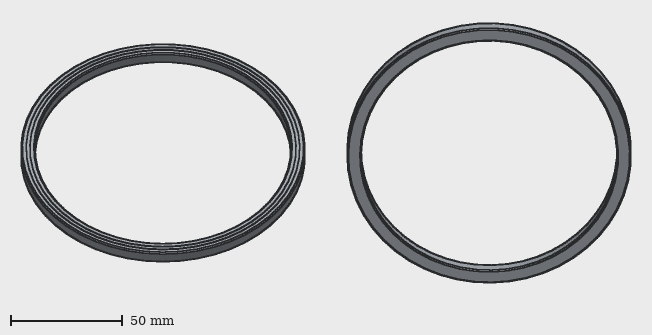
import cadquery as cq

outer_diameter = 127.0
ring_width = 6.4
ring_height = 6.4
edge_chamfer = 0.6

groove_width = 1.7
groove_depth = 0.3

outer_radius = outer_diameter / 2
middle_radius = outer_radius - ring_width / 2


def annulus(center_radius, width, bottom, height):
    """Flat ring of rectangular section around the Z axis."""
    return (
        cq.Workplane("XY", origin=(0, 0, bottom))
        .circle(center_radius + width / 2)
        .circle(center_radius - width / 2)
        .extrude(height)
    )


ring = annulus(middle_radius, ring_width, 0, ring_height)
ring = ring.faces("<Z or >Z").edges().chamfer(edge_chamfer)

groove = annulus(middle_radius, groove_width, ring_height - groove_depth, groove_depth)

result = ring.cut(groove)